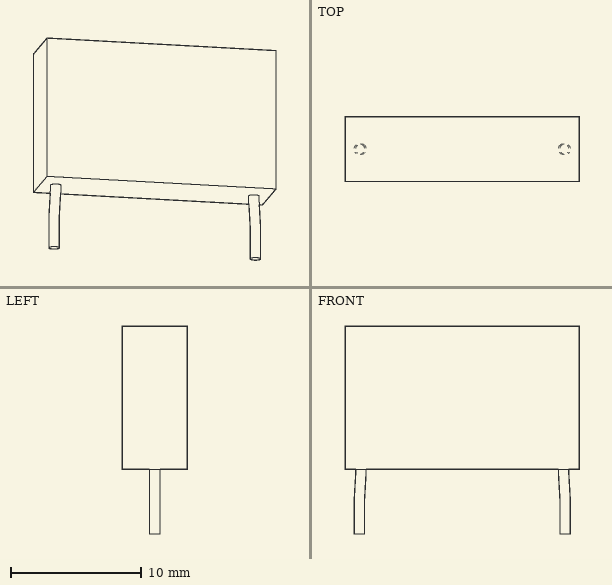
import cadquery as cq
import math

housing_length = 18.01
housing_width = 5.0
housing_height = 11.0

lead_diameter = 0.813
lead_length = 4.98
lead_spacing_at_housing = 15.57
lead_spacing_at_tip = 15.82
crank_top_depth = 0.2
crank_bottom_depth = 2.45
bend_radius = 1.0

crank_offset = (lead_spacing_at_tip - lead_spacing_at_housing) / 2
crank_height = crank_bottom_depth - crank_top_depth
straight_offset = crank_offset - 2 * bend_radius
slope_length = math.sqrt(crank_height**2 + straight_offset**2 - (2 * bend_radius) ** 2)
crank_angle = math.atan2(crank_height, -straight_offset) - math.atan2(slope_length, 2 * bend_radius)


def bend_shift(angle):
    """Sideways shift of the centre line after turning through an angle."""
    return bend_radius * (1 - math.cos(angle))


def bend_drop(angle):
    """Downward travel of the centre line while turning through an angle."""
    return bend_radius * math.sin(angle)


def make_housing():
    return cq.Workplane("XY").box(
        housing_length, housing_width, housing_height, centered=(True, True, False)
    )


def make_lead(side):
    """Sweep one cranked lead; side is -1 or +1 along X."""
    top_x = lead_spacing_at_housing / 2
    tip_x = lead_spacing_at_tip / 2

    def at(x, depth):
        return (side * x, -depth)

    half_angle = crank_angle / 2
    centre_line = (
        cq.Workplane("XZ")
        .moveTo(*at(top_x, 0))
        .lineTo(*at(top_x, crank_top_depth))
        .threePointArc(
            at(top_x + bend_shift(half_angle), crank_top_depth + bend_drop(half_angle)),
            at(top_x + bend_shift(crank_angle), crank_top_depth + bend_drop(crank_angle)),
        )
        .lineTo(*at(tip_x - bend_shift(crank_angle), crank_bottom_depth - bend_drop(crank_angle)))
        .threePointArc(
            at(tip_x - bend_shift(half_angle), crank_bottom_depth - bend_drop(half_angle)),
            at(tip_x, crank_bottom_depth),
        )
        .lineTo(*at(tip_x, lead_length))
    )
    return (
        cq.Workplane("XY", origin=(side * top_x, 0, 0))
        .circle(lead_diameter / 2)
        .sweep(centre_line)
    )


housing = make_housing()
leads = [make_lead(side) for side in (-1, 1)]

result = cq.Compound.makeCompound([housing.val(), *[lead.val() for lead in leads]])